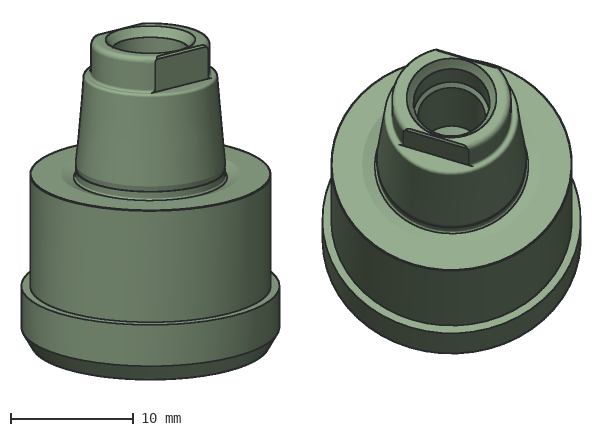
import cadquery as cq
import math

total_height = 25.95
collar_bevel_height = 1.43
collar_top = 4.95
body_top = 14.5
undercut_bottom = 14.9
taper_bottom = 15.37
shoulder_top = 23.0

collar_radius = 10.51
body_radius = 9.8
dish_outer_radius = 7.27
dish_inner_radius = 6.25
neck_radius = 6.08
undercut_radius = 6.03
taper_bottom_radius = 6.1
taper_top_radius = 5.46
tip_radius = 4.84

collar_bevel_angle = 30
body_edge_chamfer = 0.06
dish_depth = 0.29
shoulder_fillet = 0.25
tip_root_fillet = 0.2
tip_top_fillet = 0.48

flat_half_width = 3.94
flat_edge_chamfer = 0.17

mouth_radius = 3.65
mouth_mid_radius = 3.31
bore_radius = 3.1
pilot_radius = 2.75
through_radius = 2.0
mouth_upper_depth = 0.5
mouth_lower_depth = 0.28
bore_depth = 3.04
bore_seat_depth = 0.35
pilot_depth = 10.0
drill_point_angle = 140


def outer_body():
    """Collar, body, dished top face, tapered neck and round tip, as one revolved solid."""
    collar_bottom_radius = collar_radius - collar_bevel_height * math.tan(math.radians(collar_bevel_angle))
    dish_bottom = body_top - dish_depth
    neck_fillet = dish_inner_radius - neck_radius
    profile = (
        cq.Workplane("XZ")
        .lineTo(collar_bottom_radius, 0)
        .lineTo(collar_radius, collar_bevel_height)
        .lineTo(collar_radius, collar_top)
        .lineTo(body_radius, collar_top)
        .lineTo(body_radius, body_top - body_edge_chamfer)
        .lineTo(body_radius - body_edge_chamfer, body_top)
        .lineTo(dish_outer_radius, body_top)
        .lineTo(dish_inner_radius, dish_bottom)
        .radiusArc((neck_radius, dish_bottom + neck_fillet), neck_fillet)
        .lineTo(neck_radius, undercut_bottom)
        .lineTo(undercut_radius, undercut_bottom)
        .lineTo(taper_bottom_radius, taper_bottom)
        .lineTo(taper_top_radius, shoulder_top - shoulder_fillet)
        .radiusArc((taper_top_radius - shoulder_fillet, shoulder_top), -shoulder_fillet)
        .lineTo(tip_radius + tip_root_fillet, shoulder_top)
        .radiusArc((tip_radius, shoulder_top + tip_root_fillet), tip_root_fillet)
        .lineTo(tip_radius, total_height - tip_top_fillet)
        .radiusArc((tip_radius - tip_top_fillet, total_height), -tip_top_fillet)
        .lineTo(0, total_height)
        .close()
    )
    return profile.revolve(360, (0, 0, 0), (0, 1, 0))


def flat_cutter(side):
    """Material removed to form one wrench flat and its bevelled top edge; side is +1 or -1."""
    outer_x = side * collar_radius
    flat_x = side * flat_half_width
    bevel_x = side * (flat_half_width - flat_edge_chamfer)
    return (
        cq.Workplane("XZ")
        .moveTo(outer_x, shoulder_top)
        .lineTo(flat_x, shoulder_top)
        .lineTo(flat_x, total_height - flat_edge_chamfer)
        .lineTo(bevel_x, total_height)
        .lineTo(outer_x, total_height)
        .close()
        .extrude(collar_radius, both=True)
    )


def stepped_bore():
    """Countersunk bore, pilot hole with a drill-point bottom, and through hole."""
    mouth_mid = total_height - mouth_upper_depth
    mouth_bottom = mouth_mid - mouth_lower_depth
    bore_bottom = total_height - bore_depth
    seat_bottom = bore_bottom - bore_seat_depth
    pilot_bottom = total_height - pilot_depth
    point_height = (pilot_radius - through_radius) / math.tan(math.radians(drill_point_angle / 2))
    profile = (
        cq.Workplane("XZ")
        .lineTo(through_radius, 0)
        .lineTo(through_radius, pilot_bottom - point_height)
        .lineTo(pilot_radius, pilot_bottom)
        .lineTo(pilot_radius, seat_bottom)
        .lineTo(bore_radius, bore_bottom)
        .lineTo(bore_radius, mouth_bottom)
        .lineTo(mouth_mid_radius, mouth_mid)
        .lineTo(mouth_radius, total_height)
        .lineTo(0, total_height)
        .close()
    )
    return profile.revolve(360, (0, 0, 0), (0, 1, 0))


result = outer_body()
for side in (-1, 1):
    result = result.cut(flat_cutter(side))
result = result.cut(stepped_bore())